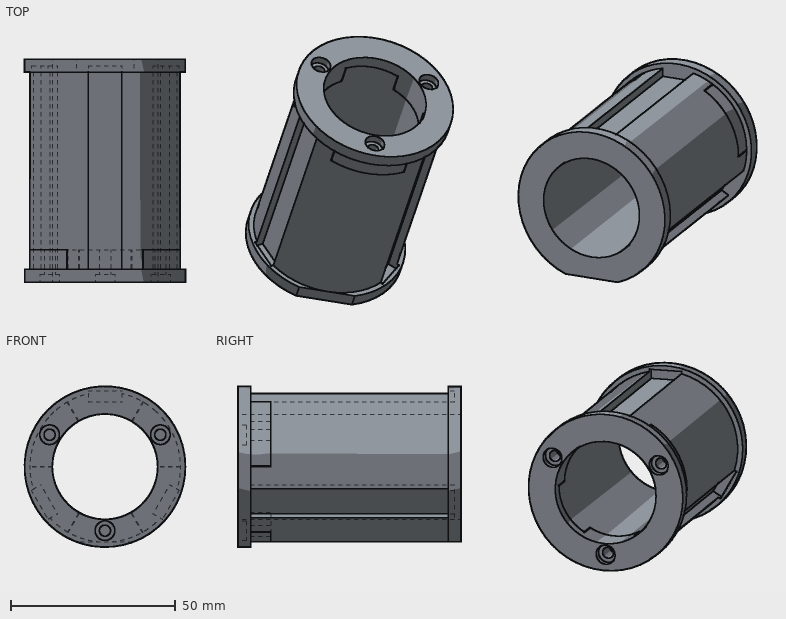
import cadquery as cq
import math

length = 68.0
flange_diameter = 49.0
flange_thickness = 4.0
sleeve_diameter = 45.8
bore_diameter = 32.0

station_count = 3
tab_length = 6.0
tab_angle = 60.0
first_tab_direction = 30.0
tab_side_clearance = 0.2

groove_width = 10.2
groove_floor_radius = 19.7
first_groove_direction = 90.0
pocket_roof_radius = 23.05
pocket_depth = 2.0

screw_hole_diameter = 3.4
counterbore_diameter = 6.0
counterbore_depth = 2.5

station_pitch = 360.0 / station_count
tab_end = flange_thickness + tab_length
sleeve_body_length = length - 2 * flange_thickness
back_flange_start = length - flange_thickness
screw_circle_radius = (bore_diameter + sleeve_diameter) / 4
flat_height = -sleeve_diameter / 2


def section_plane(y):
    """Plane across the axis: local x is X, local y is Z and extrusion goes towards +Y."""
    return cq.Workplane(cq.Plane(origin=(0, y, 0), xDir=(1, 0, 0), normal=(0, -1, 0)))


def disc(diameter, y, thickness):
    return section_plane(y).circle(diameter / 2).extrude(-thickness)


def bored(body, y, thickness):
    """Open the central bore through a body that starts at y."""
    return body.cut(disc(bore_diameter, y, thickness))


def turned(shape, angle):
    """Turn a shape about the axis, from +X towards +Z."""
    return shape.rotate((0, 0, 0), (0, -1, 0), angle)


def station_directions(first):
    return [first + index * station_pitch for index in range(station_count)]


def tab_sector(side_clearance):
    """Tab-shaped sector centred on +X before boring, with both sides moved inwards by a clearance."""
    half_angle = math.radians(tab_angle / 2)
    reach = sleeve_diameter
    apex = side_clearance / math.sin(half_angle)
    half_width = (reach - apex) * math.tan(half_angle)
    wedge = (
        section_plane(flange_thickness)
        .polyline([(apex, 0), (reach, -half_width), (reach, half_width)])
        .close()
        .extrude(-tab_length)
    )
    return disc(sleeve_diameter, flange_thickness, tab_length).intersect(wedge)


def screw_hole():
    """Counterbored hole on the +X side, opening on the cap face."""
    hole = section_plane(0).center(screw_circle_radius, 0).circle(screw_hole_diameter / 2).extrude(-tab_end)
    counterbore = (
        section_plane(0)
        .center(screw_circle_radius, 0)
        .circle(counterbore_diameter / 2)
        .extrude(-counterbore_depth)
    )
    return hole.union(counterbore)


def make_cap():
    cap = disc(flange_diameter, 0, flange_thickness)
    for direction in station_directions(first_tab_direction):
        cap = cap.union(turned(tab_sector(tab_side_clearance), direction))
    cap = bored(cap, 0, tab_end)
    for direction in station_directions(first_tab_direction):
        cap = cap.cut(turned(screw_hole(), direction))
    return cap


def groove():
    """Groove cutter on the +X side, with its far end running into a blind pocket in the back flange."""
    groove_depth = flange_diameter / 2 - groove_floor_radius
    channel = (
        section_plane(flange_thickness)
        .center(groove_floor_radius + groove_depth / 2, 0)
        .rect(groove_depth, groove_width)
        .extrude(-sleeve_body_length)
    )
    pocket_height = pocket_roof_radius - groove_floor_radius
    pocket = (
        section_plane(back_flange_start)
        .center(groove_floor_radius + pocket_height / 2, 0)
        .rect(pocket_height, groove_width)
        .extrude(-pocket_depth)
    )
    return channel.union(pocket)


def back_flange():
    """End flange with its underside cut flat, level with the bottom of the sleeve."""
    radius = flange_diameter / 2
    flat_half_width = math.sqrt(radius**2 - flat_height**2)
    return (
        section_plane(back_flange_start)
        .moveTo(-flat_half_width, flat_height)
        .threePointArc((0, radius), (flat_half_width, flat_height))
        .close()
        .extrude(-flange_thickness)
    )


def make_sleeve():
    sleeve = disc(sleeve_diameter, flange_thickness, sleeve_body_length).union(back_flange())
    sleeve = bored(sleeve, flange_thickness, length - flange_thickness)
    for direction in station_directions(first_tab_direction):
        sleeve = sleeve.cut(turned(tab_sector(0), direction))
    for direction in station_directions(first_groove_direction):
        sleeve = sleeve.cut(turned(groove(), direction))
    return sleeve


cap = make_cap()
sleeve = make_sleeve()

result = cq.Compound.makeCompound([cap.solids().val(), sleeve.solids().val()])